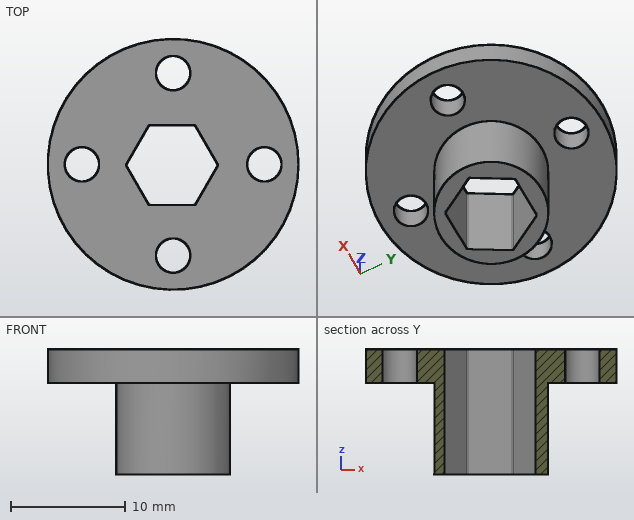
import cadquery as cq
import math

flange_diameter = 22.0
flange_thickness = 3.0
total_height = 11.0
hub_diameter = 10.0
hub_length = total_height - flange_thickness

bolt_hole_diameter = 3.0
bolt_circle_diameter = 16.0
bolt_hole_count = 4

hex_across_flats = 6.97
hex_corner_radius = 0.15
hex_offset_x = -0.1
hex_offset_y = -0.07


def make_body():
    hub = cq.Workplane("XY").circle(hub_diameter / 2).extrude(hub_length)
    flange = (
        cq.Workplane("XY")
        .workplane(offset=hub_length)
        .circle(flange_diameter / 2)
        .extrude(flange_thickness)
    )
    return hub.union(flange)


def make_bolt_holes():
    return (
        cq.Workplane("XY")
        .workplane(offset=hub_length)
        .polarArray(bolt_circle_diameter / 2, 0, 360, bolt_hole_count)
        .circle(bolt_hole_diameter / 2)
        .extrude(flange_thickness)
    )


def make_hex_bore():
    across_corners = hex_across_flats / math.cos(math.pi / 6)
    return (
        cq.Workplane("XY")
        .center(hex_offset_x, hex_offset_y)
        .polygon(6, across_corners)
        .extrude(total_height)
        .edges("|Z")
        .fillet(hex_corner_radius)
    )


result = make_body().cut(make_bolt_holes()).cut(make_hex_bore())